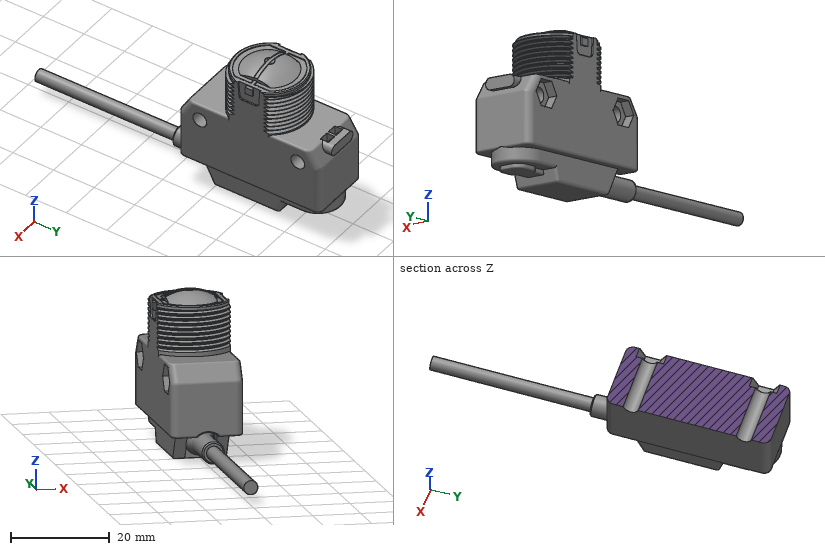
import cadquery as cq
import math


WIDTH = 15.0
LENGTH = 35.0
HALF_LENGTH = LENGTH / 2
BLOCK_BOTTOM = 5.9
BLOCK_TOP = 20.9
SHOULDER_Z = 17.2
SHOULDER_RUN = 2.4
CORNER_RADIUS = 1.6
SHOULDER_FILLET = 0.9
TOP_FILLET = 0.5
BOTTOM_FILLET = 0.45

HOLE_SPACING = 24.1
HOLE_Z = 17.2
HOLE_DIAMETER = 3.35
NUT_FLATS = 5.6
NUT_DEPTH = 2.2

THREAD_RADIUS = 9.0
ROOT_RADIUS = 8.4
COUNTED_TURNS = 5
COUNTED_RUN = 5.0
THREAD_PITCH = COUNTED_RUN / COUNTED_TURNS
THREAD_START_Z = 21.5
THREAD_TOP_Z = 30.4
THREAD_LAND = 0.15
BARREL_TOP = 31.2
BARREL_ROOT_Z = 19.4
RIM_CHAMFER = 0.2

POCKET_BOTTOM_Z = 27.05
POCKET_TOP_HALF = 2.7
POCKET_BOTTOM_HALF = 2.4
POCKET_RADIUS = 0.9
POCKET_DEPTH = 0.4
LUG_WIDTH = 1.8
LUG_BOTTOM_Z = 29.1
LUG_EDGE_Z = 30.7

LENS_TOP = 33.2
LENS_SPHERE = 10.9
LENS_HALF_WIDTH = 5.1
RECESS_RADIUS = 7.55
RECESS_HALF_WIDTH = 6.2
RECESS_DEPTH = 0.2
BRIDGE_WIDTH = 0.8
BRIDGE_RISE = 0.15
BOSS_RADIUS = 1.05

TAB_WIDTH = 7.6
TAB_HEIGHT = 2.55
TAB_END_Y = 17.85
WINDOW_INNER_X = 0.3
WINDOW_OUTER_X = 2.55
WINDOW_BACK_Y = 14.3
WINDOW_FRONT_Y = 16.2
WINDOW_DEPTH = 2.4

BASE_HALF_WIDTH = 5.6
BASE_STEP_Z = 2.9
STEP_TOP_Y = 6.95
STEP_BOTTOM_Y = 6.05
BASE_FOOT_Y = -9.5
BASE_SLOPE_TOP_Y = -12.55
BASE_FILLET = 0.6

PAD_BOTTOM_Z = 1.95
PAD_END_Y = 15.4
PAD_LENGTH = 6.3
PAD_HALF_WIDTH = 3.2
PAD_RADIUS = 2.2
PAD_FILLET = 0.3
NECK_HALF_WIDTH = 2.25

CABLE_Z = 3.65
CABLE_DIAMETER = 2.9
TOTAL_LENGTH = 74.7
CABLE_END_Y = TAB_END_Y - TOTAL_LENGTH
RELIEF_RADIUS = 2.3
RELIEF_END_Y = -22.5
RELIEF_CHAMFER = 0.3
FLARE_RADIUS = 3.1
FLARE_END_Y = -13.1
NOTCH_RADIUS = 3.2
NOTCH_CHAMFER = 0.2

OVERLAP = 0.4


def box(x_range, y_range, z_range):
    """Axis-aligned box between the given limits."""
    sizes = [high - low for low, high in (x_range, y_range, z_range)]
    corner = (x_range[0], y_range[0], z_range[0])
    return cq.Workplane("XY").box(*sizes, centered=False).translate(corner)


def side_profile(points, half_width):
    """Prism along X, centred on X = 0, from (y, z) points."""
    return cq.Workplane("YZ").polyline(points).close().extrude(half_width, both=True)


def make_block():
    """Block with sloping shoulders, rounded end edges and rounded top and bottom rims."""
    shoulder_y = HALF_LENGTH - SHOULDER_RUN
    outline = [
        (-HALF_LENGTH, BLOCK_BOTTOM),
        (HALF_LENGTH, BLOCK_BOTTOM),
        (HALF_LENGTH, SHOULDER_Z),
        (shoulder_y, BLOCK_TOP),
        (-shoulder_y, BLOCK_TOP),
        (-HALF_LENGTH, SHOULDER_Z),
    ]
    block = side_profile(outline, WIDTH / 2)
    lower_shoulders = cq.selectors.BoxSelector(
        (-WIDTH, -HALF_LENGTH - OVERLAP, SHOULDER_Z - OVERLAP),
        (WIDTH, HALF_LENGTH + OVERLAP, SHOULDER_Z + OVERLAP),
    )
    block = block.edges("|X").edges(lower_shoulders).fillet(SHOULDER_FILLET)
    block = block.faces(">X or <X").edges("not |Y").fillet(CORNER_RADIUS)
    block = block.faces(">Z").edges().fillet(TOP_FILLET)
    return block.faces("<Z").edges().fillet(BOTTOM_FILLET)


def cut_mounting_holes(body):
    """Two cross holes, each with a hexagonal recess on the -X side."""
    nut_corners = NUT_FLATS / math.cos(math.pi / 6)
    centers = [(-HOLE_SPACING / 2, HOLE_Z), (HOLE_SPACING / 2, HOLE_Z)]
    side = cq.Workplane("YZ", origin=(-WIDTH / 2, 0, 0)).pushPoints(centers)
    holes = side.circle(HOLE_DIAMETER / 2).extrude(WIDTH)
    recesses = side.polygon(6, nut_corners).extrude(NUT_DEPTH)
    return body.cut(holes).cut(recesses)


def make_thread_groove():
    """Helical V groove that starts on the +X side and runs out above the thread."""
    half_mouth = (THREAD_PITCH - THREAD_LAND) / 2
    half_root = THREAD_LAND / 2
    start = cq.Vector(0, 0, THREAD_START_Z)
    height = THREAD_TOP_Z - THREAD_START_Z + THREAD_PITCH / 2
    helix = cq.Wire.makeHelix(THREAD_PITCH, height, ROOT_RADIUS, start)
    outer = THREAD_RADIUS + (THREAD_RADIUS - ROOT_RADIUS) * half_root / (half_mouth - half_root)
    wide = half_mouth + half_root
    profile = cq.Workplane("XZ").polyline([
        (ROOT_RADIUS, THREAD_START_Z - half_root),
        (outer, THREAD_START_Z - wide),
        (outer, THREAD_START_Z + wide),
        (ROOT_RADIUS, THREAD_START_Z + half_root),
    ]).close()
    return profile.sweep(cq.Workplane(obj=helix), isFrenet=True)


def make_barrel():
    """Threaded barrel with two flats flush with the block sides."""
    barrel = (
        cq.Workplane("XY", origin=(0, 0, BARREL_ROOT_Z))
        .circle(THREAD_RADIUS).extrude(THREAD_TOP_Z - BARREL_ROOT_Z)
        .rotate((0, 0, 0), (0, 0, 1), 180)
    )
    rim = (
        cq.Workplane("XY", origin=(0, 0, THREAD_TOP_Z))
        .circle(ROOT_RADIUS).extrude(BARREL_TOP - THREAD_TOP_Z)
        .faces(">Z").chamfer(RIM_CHAMFER)
    )
    barrel = barrel.cut(make_thread_groove()).union(rim)
    half_width = WIDTH / 2
    flats = box(
        (-half_width, half_width), (-HALF_LENGTH, HALF_LENGTH), (BARREL_ROOT_Z, BARREL_TOP),
    )
    return barrel.intersect(flats)


def make_clip_pocket():
    """Tapered pocket in the -X flat, less the ramped lug that stands in it."""
    floor_x = -WIDTH / 2 + POCKET_DEPTH
    pocket = (
        cq.Workplane("YZ", origin=(-WIDTH / 2, 0, 0))
        .polyline([
            (-POCKET_TOP_HALF, BARREL_TOP),
            (-POCKET_BOTTOM_HALF, POCKET_BOTTOM_Z),
            (POCKET_BOTTOM_HALF, POCKET_BOTTOM_Z),
            (POCKET_TOP_HALF, BARREL_TOP),
        ]).close().extrude(POCKET_DEPTH)
        .edges("|X and <Z").fillet(POCKET_RADIUS)
    )
    ramp_top_z = LUG_EDGE_Z + POCKET_DEPTH
    lug = (
        cq.Workplane("XZ")
        .polyline([
            (-WIDTH / 2, LUG_BOTTOM_Z),
            (floor_x, LUG_BOTTOM_Z),
            (floor_x, ramp_top_z),
            (-WIDTH / 2, LUG_EDGE_Z),
        ]).close().extrude(LUG_WIDTH / 2, both=True)
    )
    return pocket.cut(lug)


def make_lens_recess():
    """Two shallow D-shaped recesses in the barrel top, parted by the bridge."""
    depth_range = (BARREL_TOP - RECESS_DEPTH, BARREL_TOP)
    disc = (
        cq.Workplane("XY", origin=(0, 0, depth_range[0]))
        .circle(RECESS_RADIUS).extrude(RECESS_DEPTH)
    )
    sides = box(
        (-RECESS_HALF_WIDTH, RECESS_HALF_WIDTH), (-RECESS_RADIUS, RECESS_RADIUS), depth_range,
    )
    bridge = box(
        (-RECESS_RADIUS, RECESS_RADIUS), (-BRIDGE_WIDTH / 2, BRIDGE_WIDTH / 2), depth_range,
    )
    return disc.intersect(sides).cut(bridge)


def make_lens():
    """Spherical cap with cut sides, crossed by an arched bridge with a round centre boss."""
    bottom_z = BARREL_TOP - RECESS_DEPTH - OVERLAP
    sides = box(
        (-LENS_HALF_WIDTH, LENS_HALF_WIDTH), (-RECESS_RADIUS, RECESS_RADIUS), (bottom_z, LENS_TOP),
    )
    dome_center_z = LENS_TOP - BRIDGE_RISE - LENS_SPHERE
    dome = cq.Workplane("XY").sphere(LENS_SPHERE).translate((0, 0, dome_center_z))
    arch = (
        cq.Workplane("XZ", origin=(0, 0, LENS_TOP - LENS_SPHERE))
        .circle(LENS_SPHERE).extrude(RECESS_RADIUS, both=True)
    )
    strip = box(
        (-LENS_HALF_WIDTH, LENS_HALF_WIDTH), (-BRIDGE_WIDTH / 2, BRIDGE_WIDTH / 2), (bottom_z, LENS_TOP),
    )
    boss = (
        cq.Workplane("XY", origin=(0, 0, bottom_z))
        .circle(BOSS_RADIUS).extrude(LENS_TOP - BRIDGE_RISE / 2 - bottom_z)
    )
    return dome.intersect(sides).union(boss).union(strip.intersect(arch))


def make_tab():
    """Round-ended bar standing out of the +Y shoulder, flush with the block top."""
    center_z = BLOCK_TOP - TAB_HEIGHT / 2
    return (
        cq.Workplane("XZ", origin=(0, TAB_END_Y, center_z))
        .slot2D(TAB_WIDTH, TAB_HEIGHT).extrude(TAB_END_Y - WINDOW_BACK_Y)
    )


def make_window_cuts():
    """Two wedge-shaped indicator windows in the tab."""
    wedge = side_profile(
        [
            (WINDOW_BACK_Y, BLOCK_TOP),
            (WINDOW_BACK_Y, BLOCK_TOP - WINDOW_DEPTH),
            (WINDOW_FRONT_Y, BLOCK_TOP),
        ],
        WINDOW_OUTER_X,
    )
    mullion = box(
        (-WINDOW_INNER_X, WINDOW_INNER_X),
        (WINDOW_BACK_Y, WINDOW_FRONT_Y),
        (BLOCK_TOP - WINDOW_DEPTH, BLOCK_TOP),
    )
    return wedge.cut(mullion)


def make_base():
    """Stepped base with a round +Y end and a sloping -Y end."""
    top_z = BLOCK_BOTTOM + OVERLAP
    outline = [
        (HALF_LENGTH, top_z),
        (HALF_LENGTH, BASE_STEP_Z),
        (STEP_TOP_Y, BASE_STEP_Z),
        (STEP_BOTTOM_Y, 0),
        (BASE_FOOT_Y, 0),
        (BASE_SLOPE_TOP_Y, BLOCK_BOTTOM),
        (BASE_SLOPE_TOP_Y, top_z),
    ]
    plan = (
        cq.Workplane("XY")
        .moveTo(-BASE_HALF_WIDTH, BASE_SLOPE_TOP_Y)
        .lineTo(BASE_HALF_WIDTH, BASE_SLOPE_TOP_Y)
        .lineTo(BASE_HALF_WIDTH, HALF_LENGTH - BASE_HALF_WIDTH)
        .threePointArc((0, HALF_LENGTH), (-BASE_HALF_WIDTH, HALF_LENGTH - BASE_HALF_WIDTH))
        .close().extrude(top_z)
    )
    base = side_profile(outline, BASE_HALF_WIDTH).intersect(plan)
    low_region = cq.selectors.BoxSelector(
        (-WIDTH, BASE_FOOT_Y - OVERLAP, -OVERLAP),
        (WIDTH, HALF_LENGTH + OVERLAP, BASE_STEP_Z + OVERLAP),
        boundingbox=True,
    )
    inner_corner = cq.selectors.BoxSelector(
        (-WIDTH, STEP_TOP_Y - OVERLAP, BASE_STEP_Z - OVERLAP),
        (WIDTH, STEP_TOP_Y + OVERLAP, BASE_STEP_Z + OVERLAP),
        boundingbox=True,
    )
    return base.edges(low_region - inner_corner).fillet(BASE_FILLET)


def make_pad():
    """Rounded pad under the thin end of the base, joined to the step by a neck."""
    z_range = (PAD_BOTTOM_Z, BASE_STEP_Z + OVERLAP)
    pad = box(
        (-PAD_HALF_WIDTH, PAD_HALF_WIDTH), (PAD_END_Y - PAD_LENGTH, PAD_END_Y), z_range,
    ).edges("|Z").fillet(PAD_RADIUS)
    neck = box(
        (-NECK_HALF_WIDTH, NECK_HALF_WIDTH), (STEP_BOTTOM_Y, PAD_END_Y - PAD_RADIUS), z_range,
    )
    return pad.union(neck).faces("<Z").edges().fillet(PAD_FILLET)


def cut_relief_clearance(body):
    """Slot through the base slope and arched notch in the block around the strain relief."""
    slot = box(
        (-FLARE_RADIUS, FLARE_RADIUS), (-HALF_LENGTH, BASE_FOOT_Y), (0, BLOCK_BOTTOM),
    )
    notch = (
        cq.Workplane("YZ", origin=(0, 0, CABLE_Z))
        .polyline([
            (BASE_FOOT_Y, 0),
            (BASE_FOOT_Y, NOTCH_RADIUS),
            (NOTCH_CHAMFER - HALF_LENGTH, NOTCH_RADIUS),
            (-HALF_LENGTH, NOTCH_RADIUS + NOTCH_CHAMFER),
            (-HALF_LENGTH, 0),
        ]).close()
        .revolve(360, (0, 0, 0), (1, 0, 0))
    )
    return body.cut(slot).cut(notch)


def make_strain_relief():
    """Flared collar that holds the cable."""
    return (
        cq.Workplane("YZ", origin=(0, 0, CABLE_Z))
        .polyline([
            (BASE_FOOT_Y + OVERLAP, 0),
            (BASE_FOOT_Y + OVERLAP, FLARE_RADIUS),
            (BASE_FOOT_Y, FLARE_RADIUS),
            (FLARE_END_Y, RELIEF_RADIUS),
            (RELIEF_END_Y + RELIEF_CHAMFER, RELIEF_RADIUS),
            (RELIEF_END_Y, RELIEF_RADIUS - RELIEF_CHAMFER),
            (RELIEF_END_Y, 0),
        ]).close()
        .revolve(360, (0, 0, 0), (1, 0, 0))
    )


def make_housing():
    """Whole sensor housing, from strain relief to lens."""
    housing = make_block().union(make_base())
    housing = cut_relief_clearance(housing)
    housing = housing.union(make_pad()).union(make_strain_relief())
    housing = housing.union(make_tab()).cut(make_window_cuts())
    housing = cut_mounting_holes(housing)
    pocket = make_clip_pocket()
    barrel = make_barrel().cut(pocket).cut(pocket.mirror("YZ")).cut(make_lens_recess())
    return housing.union(barrel).union(make_lens())


def make_cable():
    """Round cable that butts against the end of the strain relief."""
    return (
        cq.Workplane("XZ", origin=(0, RELIEF_END_Y, CABLE_Z))
        .circle(CABLE_DIAMETER / 2).extrude(RELIEF_END_Y - CABLE_END_Y)
    )


housing = make_housing()
cable = make_cable()
result = cq.Compound.makeCompound([housing.solids().val(), cable.val()])